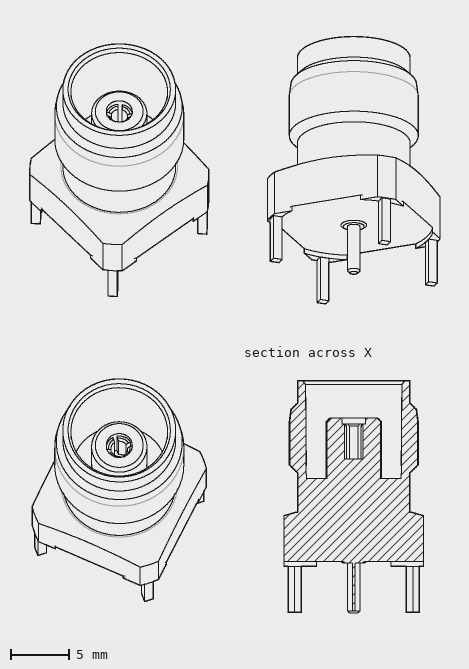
import cadquery as cq

total_height = 19.95
base_bottom = 4.0
shoulder_height = 8.65

base_width = 12.0
base_corner_radius = 7.7
base_rim_height = 7.88
shoulder_radius = 5.0
relief_radius = 6.8
relief_depth = 0.42
relief_ceiling = base_bottom + relief_depth

neck_radius = 4.85
collar_radius = 5.55
collar_bottom = 12.03
collar_taper_start = 16.4
collar_taper_end = 17.48
collar_taper_radius = 5.4
collar_top = collar_taper_end + collar_taper_radius - neck_radius
collar_straight_start = collar_bottom + collar_radius - neck_radius

mouth_radius = 4.39
socket_top_radius = 4.15
socket_floor_radius = 4.09
mouth_chamfer_depth = 0.32
socket_floor = 11.57

insulator_top = 16.75
insulator_radius = 2.37
insulator_chamfer = 0.32
insulator_tip_radius = 1.1
insulator_tip_end_radius = 0.9
insulator_tip_height = 0.14

contact_radius = 1.12
contact_top = 16.24
contact_lead_in_radius = 0.92
contact_bore_radius = 0.72
contact_bore_depth = 3.0
contact_floor = contact_top - contact_bore_depth
slot_width = 0.35
slot_angles = (45, 135)

pin_radius = 0.54
pin_chamfer = 0.2
leg_side = 0.8
leg_offset = 5.07
leg_bottom = 0.05


def cylinder(radius, bottom, top):
    return cq.Workplane("XY").workplane(offset=bottom).circle(radius).extrude(top - bottom)


def cone(bottom_radius, top_radius, bottom, top):
    profile = [(0, bottom), (bottom_radius, bottom), (top_radius, top), (0, top)]
    return cq.Workplane("XZ").polyline(profile).close().revolve(360, (0, 0), (0, 1))


def make_base():
    """Square block with turned corners, a conical top and four corner feet."""
    turned_profile = [
        (0, base_bottom),
        (base_corner_radius, base_bottom),
        (base_corner_radius, base_rim_height),
        (shoulder_radius, shoulder_height),
        (0, shoulder_height),
    ]
    turned = cq.Workplane("XZ").polyline(turned_profile).close().revolve(360, (0, 0), (0, 1))
    block = (
        cq.Workplane("XY")
        .workplane(offset=base_bottom)
        .rect(base_width, base_width)
        .extrude(shoulder_height - base_bottom)
    )
    base = turned.intersect(block)
    return base.cut(cylinder(relief_radius, base_bottom, relief_ceiling))


def make_barrel():
    """Round barrel with its chamfered and tapered collar."""
    profile = [
        (0, shoulder_height),
        (neck_radius, shoulder_height),
        (neck_radius, collar_bottom),
        (collar_radius, collar_straight_start),
        (collar_radius, collar_taper_start),
        (collar_taper_radius, collar_taper_end),
        (neck_radius, collar_top),
        (neck_radius, total_height),
        (0, total_height),
    ]
    return cq.Workplane("XZ").polyline(profile).close().revolve(360, (0, 0), (0, 1))


def make_socket():
    """Cavity of the barrel, with a chamfered mouth."""
    mouth_bottom = total_height - mouth_chamfer_depth
    bore = cone(socket_floor_radius, socket_top_radius, socket_floor, mouth_bottom)
    return bore.union(cone(socket_top_radius, mouth_radius, mouth_bottom, total_height))


def make_insulator():
    """Chamfered insulator standing on the socket floor, recessed above the contact."""
    insulator = cylinder(insulator_radius, socket_floor, insulator_top).faces(">Z").chamfer(insulator_chamfer)
    return insulator.cut(cylinder(contact_radius, contact_top, insulator_top))


def make_contact_cavity():
    """Bore of the contact with its conical lead-in and crossed slots."""
    lead_in_depth = contact_lead_in_radius - contact_bore_radius
    cavity = cylinder(contact_bore_radius, contact_floor, contact_top)
    lead_in = cone(contact_bore_radius, contact_lead_in_radius, contact_top - lead_in_depth, contact_top)
    cavity = cavity.union(lead_in)
    contact = cylinder(contact_radius, contact_floor, contact_top)
    for angle in slot_angles:
        slot = (
            cq.Workplane("XY")
            .workplane(offset=contact_floor)
            .rect(2 * contact_radius, slot_width)
            .extrude(contact_bore_depth)
            .rotate((0, 0, 0), (0, 0, 1), angle)
        )
        cavity = cavity.union(slot.intersect(contact))
    return cavity


def make_pin():
    """Center pin and the conical insulator disc that it leaves from."""
    pin = cylinder(pin_radius, 0, relief_ceiling).faces("<Z").chamfer(pin_chamfer)
    disc_bottom = relief_ceiling - insulator_tip_height
    disc = cone(insulator_tip_end_radius, insulator_tip_radius, disc_bottom, relief_ceiling)
    return pin.union(disc)


def make_leg(x, y):
    """Square leg under one foot, turned to face the corner."""
    return (
        cq.Workplane("XY")
        .workplane(offset=leg_bottom)
        .rect(leg_side, leg_side)
        .extrude(base_bottom - leg_bottom)
        .rotate((0, 0, 0), (0, 0, 1), 45)
        .translate((x, y, 0))
    )


body = make_base().union(make_barrel()).cut(make_socket())
body = body.union(make_insulator()).cut(make_contact_cavity()).union(make_pin())
for x in (-leg_offset, leg_offset):
    for y in (-leg_offset, leg_offset):
        body = body.union(make_leg(x, y))
result = body